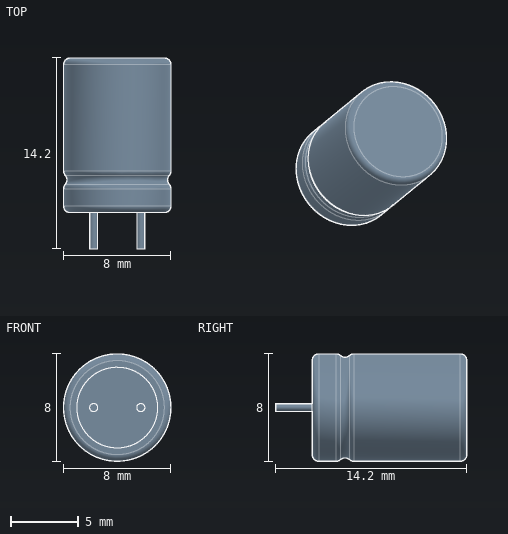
import cadquery as cq
import math


can_diameter = 8.0
can_length = 11.5
edge_radius = 0.5

groove_center = 2.44
groove_depth = 0.25
groove_arc_radius = 0.5

recess_diameter = 6.0
recess_depth = 0.3

lead_diameter = 0.6
lead_spacing = 3.5
lead_protrusion = 2.71

can_radius = can_diameter / 2

arc_drop = groove_depth / 2
arc_width = math.sqrt(groove_arc_radius**2 - (groove_arc_radius - arc_drop) ** 2)
inflection_radius = can_radius - arc_drop


def make_can():
    """Solid of revolution with rounded ends and the crimp groove."""
    end_face_radius = can_radius - edge_radius
    profile = (
        cq.Workplane("XY")
        .lineTo(end_face_radius, 0)
        .radiusArc((can_radius, edge_radius), -edge_radius)
        .lineTo(can_radius, groove_center - 2 * arc_width)
        .radiusArc((inflection_radius, groove_center - arc_width), -groove_arc_radius)
        .radiusArc((inflection_radius, groove_center + arc_width), groove_arc_radius)
        .radiusArc((can_radius, groove_center + 2 * arc_width), -groove_arc_radius)
        .lineTo(can_radius, can_length - edge_radius)
        .radiusArc((end_face_radius, can_length), -edge_radius)
        .lineTo(0, can_length)
        .close()
    )
    return profile.revolve(360, (0, 0, 0), (0, 1, 0))


def make_recess():
    """Cylinder removed from the lead end, leaving a flat ring around the seal."""
    return cq.Workplane("XZ").circle(recess_diameter / 2).extrude(-recess_depth)


def make_leads():
    """Two round leads standing on the recess floor, side by side along X."""
    lead_length = recess_depth + lead_protrusion
    return (
        cq.Workplane("XZ", origin=(0, recess_depth, 0))
        .pushPoints([(side * lead_spacing / 2, 0) for side in (-1, 1)])
        .circle(lead_diameter / 2)
        .extrude(lead_length)
    )


result = make_can().cut(make_recess()).union(make_leads())